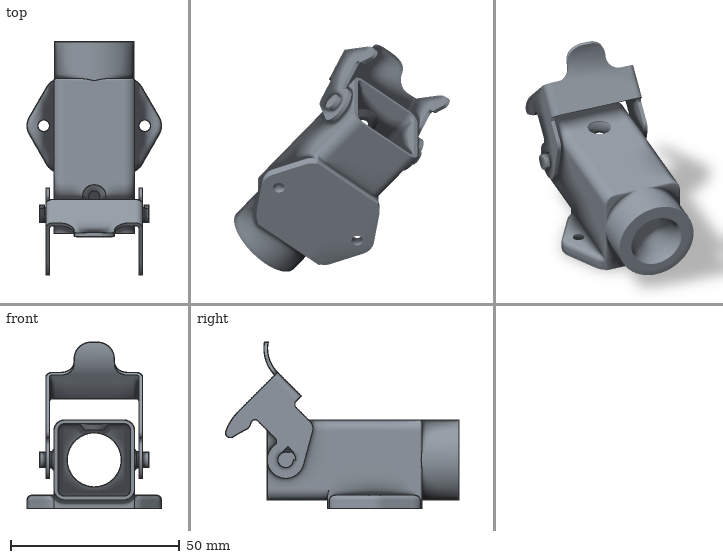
import cadquery as cq
import math

BODY_WIDTH = 24.0
BODY_HEIGHT = 23.75
BODY_LENGTH = 46.0
BODY_CORNER_R = 3.2
AXIS_Z = 14.5
BODY_TOP_Z = AXIS_Z + BODY_HEIGHT / 2
REAR_EDGE_R = 0.6

CAVITY_SIZE = 21.5
CAVITY_CORNER_R = 1.9
CAVITY_FLOOR_R = 1.05
REAR_WALL = 3.0
ENTRY_DIAMETER = BODY_HEIGHT
ENTRY_LENGTH = 11.0
BORE_DIAMETER = 16.0

BASE_FRONT_Y = 18.0
BASE_LENGTH = BODY_LENGTH - BASE_FRONT_Y
BASE_TOP_Z = 5.9
BASE_EDGE_R = 0.5
EAR_Y = BASE_FRONT_Y + BASE_LENGTH / 2
EAR_HOLE_SPACING = 30.0
EAR_HOLE_DIAMETER = 3.4
EAR_HEIGHT = 4.0
EAR_CORNER_R = 5.0
EAR_TOP_R = 1.5
EAR_ANGLE = math.radians(30)

SCREW_Y = 11.0
SCREW_HEAD_DIAMETER = 7.0
SCREW_HEAD_RECESS = 0.35
SCREW_HOLE_DIAMETER = 3.3
SEAT_BOTTOM_Z = 23.4
SEAT_TOP_DIAMETER = 8.8
SEAT_BOTTOM_DIAMETER = 5.9

PIVOT_Y = 5.5
PIN_END_X = 16.2
PIN_RADIUS = 2.3
BOSS_BASE_RADIUS = 3.15
BOSS_RADIUS = 2.45
BOSS_CONE_LENGTH = 0.6
LIP_RADIUS = 3.0
LIP_THICKNESS = 1.4

LEVER_WIDTH = 28.8
SHEET = 1.15
BEND_R = 2.1
OPEN_ANGLE = 45.0
PLATE_TOP = 16.7
PLATE_BACK = 10.1
PLATE_FRONT = 20.1
HUB_R = 5.5
ARM_BACK_ANGLE = math.radians(30)
SHOULDER = 13.2
SHOULDER_R = 3.0
RELIEF_CHAMFER = 0.85
ARM_UNDERSIDE = 2.33
NECK_R = 1.3
KEYWAY_HEIGHT = 3.25

NOSE_START = (PLATE_FRONT, -0.1)
NOSE_END = (18.58, -6.6)
TOOTH_LOW = (15.9, -6.3)
TOOTH_HIGH = (14.9, -2.5)
TOOTH_CROWN = (14.57, -0.7)
GULLET_START = (15.0, 0.4)
GULLET_TOP = (14.95, 1.85)
GULLET_END = (13.74, ARM_UNDERSIDE)

TONGUE_WIDTH = 12.0
TONGUE_TIP_R = 5.0
TONGUE_TOP_Z = 49.48
TONGUE_BEND_R = 10.0
TONGUE_ROOT_R = 4.0

OVERLAP = 1.0
AMPLE = 100.0


def rounded_bar(width, height, length, corner_r):
    """Bar along +Y from y = 0, centred on the housing axis."""
    return (
        cq.Workplane("XZ", origin=(0, 0, AXIS_Z))
        .rect(width, height)
        .extrude(-length)
        .edges("|Y")
        .fillet(corner_r)
    )


def y_cylinder(diameter, y_start, length):
    """Cylinder along the housing axis, starting at y_start."""
    return (
        cq.Workplane("XZ", origin=(0, y_start, AXIS_Z))
        .circle(diameter / 2)
        .extrude(-length)
    )


def make_shell():
    """Body tube standing on its base block."""
    base = (
        cq.Workplane("XY")
        .box(BODY_WIDTH, BASE_LENGTH, BASE_TOP_Z, centered=(True, False, False))
        .translate((0, BASE_FRONT_Y, 0))
        .edges("|Z and <Y")
        .fillet(BASE_EDGE_R)
    )
    body = rounded_bar(BODY_WIDTH, BODY_HEIGHT, BODY_LENGTH, BODY_CORNER_R)
    shell = body.union(base)
    return shell.faces(">Y").edges("not <Z").fillet(REAR_EDGE_R)


def make_ears():
    """Lozenge plate under the body whose tips carry the mounting holes."""
    tip_x = EAR_HOLE_SPACING / 2 + EAR_CORNER_R / math.cos(EAR_ANGLE)
    half_length = BASE_LENGTH / 2
    end_x = tip_x - half_length * math.tan(EAR_ANGLE)
    outline = [
        (tip_x, 0), (end_x, half_length), (-end_x, half_length),
        (-tip_x, 0), (-end_x, -half_length), (end_x, -half_length),
    ]
    return (
        cq.Workplane("XY", origin=(0, EAR_Y, 0))
        .polyline(outline)
        .close()
        .extrude(EAR_HEIGHT)
        .edges("|Z")
        .fillet(EAR_CORNER_R)
        .faces(">Z")
        .edges()
        .fillet(EAR_TOP_R)
        .faces("<Z")
        .workplane(origin=(0, EAR_Y, 0))
        .pushPoints([(-EAR_HOLE_SPACING / 2, 0), (EAR_HOLE_SPACING / 2, 0)])
        .hole(EAR_HOLE_DIAMETER)
    )


def make_cavity():
    """Square pocket from the mouth, with a rounded floor edge, and the round bore behind it."""
    pocket = rounded_bar(CAVITY_SIZE, CAVITY_SIZE, BODY_LENGTH - REAR_WALL, CAVITY_CORNER_R)
    pocket = pocket.faces(">Y").edges().fillet(CAVITY_FLOOR_R)
    return pocket.union(y_cylinder(BORE_DIAMETER, 0, BODY_LENGTH + ENTRY_LENGTH))


def revolve_about_screw(profile):
    """Revolve (radius, z) points about the vertical screw axis."""
    return (
        cq.Workplane("XZ", origin=(0, SCREW_Y, 0))
        .polyline(profile)
        .close()
        .revolve(360, (0, 0, 0), (0, 1, 0))
    )


def add_screw_seat(housing):
    """Conical boss hanging inside the top wall, with a countersunk screw hole."""
    inner_z = AXIS_Z + CAVITY_SIZE / 2
    head_r = SCREW_HEAD_DIAMETER / 2
    hole_r = SCREW_HOLE_DIAMETER / 2
    sink_z = BODY_TOP_Z - SCREW_HEAD_RECESS
    boss = revolve_about_screw([
        (0, SEAT_BOTTOM_Z), (SEAT_BOTTOM_DIAMETER / 2, SEAT_BOTTOM_Z),
        (SEAT_TOP_DIAMETER / 2, inner_z), (SEAT_TOP_DIAMETER / 2, BODY_TOP_Z), (0, BODY_TOP_Z),
    ])
    hole = revolve_about_screw([
        (0, SEAT_BOTTOM_Z), (hole_r, SEAT_BOTTOM_Z), (hole_r, sink_z - (head_r - hole_r)),
        (head_r, sink_z), (head_r, BODY_TOP_Z), (0, BODY_TOP_Z),
    ])
    return housing.union(boss).cut(hole)


def make_pin():
    """Pivot pin on the +X side: conical boss, shaft and a quarter-round retaining lip."""
    wall_x = BODY_WIDTH / 2
    root_x = wall_x - OVERLAP
    shoulder_x = LEVER_WIDTH / 2 - SHEET
    cone_x = wall_x + BOSS_CONE_LENGTH
    pin = (
        cq.Workplane("XY")
        .polyline([
            (root_x, 0), (root_x, BOSS_BASE_RADIUS), (wall_x, BOSS_BASE_RADIUS),
            (cone_x, BOSS_RADIUS), (shoulder_x, BOSS_RADIUS), (shoulder_x, PIN_RADIUS),
            (PIN_END_X, PIN_RADIUS), (PIN_END_X, 0),
        ])
        .close()
        .revolve(360, (0, 0, 0), (1, 0, 0))
    )
    lip_x = PIN_END_X - LIP_THICKNESS
    lip = cq.Workplane("YZ", origin=(lip_x, 0, 0)).circle(LIP_RADIUS).extrude(LIP_THICKNESS)
    quadrant = cq.Workplane("XY").box(AMPLE, LIP_RADIUS, PIN_RADIUS, centered=(True, False, False))
    return pin.union(lip.intersect(quadrant)).translate((0, PIVOT_Y, AXIS_Z))


def side_sketch():
    """Sketch plane of the level lever: forward (-Y) is its first axis, up its second."""
    return cq.Workplane(cq.Plane(origin=(0, 0, 0), xDir=(0, -1, 0), normal=(-1, 0, 0)))


def pose(lever_piece):
    """Swing a piece of the level lever open and place it on the pivot."""
    return lever_piece.rotate((0, 0, 0), (1, 0, 0), -OPEN_ANGLE).translate((0, PIVOT_Y, AXIS_Z))


def make_side_profile():
    """Lever side outline: plate edge, hooked latch, neck, pivot hub and shoulder."""
    neck_y = ARM_UNDERSIDE - NECK_R
    neck_x = math.sqrt((HUB_R + NECK_R) ** 2 - neck_y ** 2)
    neck_angle = math.atan2(neck_y, neck_x)
    neck_end = (HUB_R * math.cos(neck_angle), HUB_R * math.sin(neck_angle))
    neck_mid_angle = (math.pi / 2 + math.pi + neck_angle) / 2
    neck_mid = (
        neck_x + NECK_R * math.cos(neck_mid_angle),
        neck_y + NECK_R * math.sin(neck_mid_angle),
    )
    back_normal = (-math.cos(ARM_BACK_ANGLE), math.sin(ARM_BACK_ANGLE))
    hub_end = (HUB_R * back_normal[0], HUB_R * back_normal[1])
    hub_mid = (-HUB_R / math.sqrt(2), -HUB_R / math.sqrt(2))
    round_y = SHOULDER - SHOULDER_R
    round_x = (round_y * back_normal[1] - (HUB_R - SHOULDER_R)) / -back_normal[0]
    round_start = (round_x + SHOULDER_R * back_normal[0], round_y + SHOULDER_R * back_normal[1])
    round_mid_angle = math.pi / 2 + (math.pi / 2 - ARM_BACK_ANGLE) / 2
    round_mid = (
        round_x + SHOULDER_R * math.cos(round_mid_angle),
        round_y + SHOULDER_R * math.sin(round_mid_angle),
    )
    return (
        side_sketch()
        .moveTo(PLATE_FRONT, PLATE_TOP)
        .lineTo(*NOSE_START)
        .tangentArcPoint(NOSE_END, relative=False)
        .tangentArcPoint(TOOTH_LOW, relative=False)
        .lineTo(*TOOTH_HIGH)
        .threePointArc(TOOTH_CROWN, GULLET_START)
        .threePointArc(GULLET_TOP, GULLET_END)
        .lineTo(neck_x, ARM_UNDERSIDE)
        .threePointArc(neck_mid, neck_end)
        .threePointArc(hub_mid, hub_end)
        .lineTo(*round_start)
        .threePointArc(round_mid, (round_x, SHOULDER))
        .lineTo(PLATE_BACK - RELIEF_CHAMFER, SHOULDER)
        .lineTo(PLATE_BACK, SHOULDER + RELIEF_CHAMFER)
        .lineTo(PLATE_BACK, PLATE_TOP)
        .close()
        .extrude(LEVER_WIDTH / 2, both=True)
    )


def make_arch(width, top, corner_r):
    """Solid of the given width and top height, with its two upper long edges rounded."""
    return (
        cq.Workplane("XY")
        .box(width, AMPLE, AMPLE)
        .translate((0, 0, top - AMPLE / 2))
        .edges("|Y and >Z")
        .fillet(corner_r)
    )


def make_bail():
    """Bent sheet: plate and two side arms, with the corner of each keyway open."""
    channel = make_arch(LEVER_WIDTH, PLATE_TOP, BEND_R)
    channel = channel.cut(make_arch(LEVER_WIDTH - 2 * SHEET, PLATE_TOP - SHEET, BEND_R - SHEET))
    keyway = (
        side_sketch()
        .rect(PIN_RADIUS, KEYWAY_HEIGHT, centered=False)
        .extrude(LEVER_WIDTH, both=True)
    )
    return pose(make_side_profile().intersect(channel).cut(keyway))


def make_tongue():
    """Finger tongue: continues the plate, curls upright and ends in a rounded tip."""
    outer_r = TONGUE_BEND_R + SHEET
    quarter_bend = (
        side_sketch()
        .center(PLATE_FRONT, PLATE_TOP + TONGUE_BEND_R)
        .moveTo(0, -outer_r)
        .radiusArc((outer_r, 0), -outer_r)
        .lineTo(TONGUE_BEND_R, 0)
        .radiusArc((0, -TONGUE_BEND_R), TONGUE_BEND_R)
        .close()
        .extrude(LEVER_WIDTH / 2, both=True)
    )
    tip = (
        cq.Workplane("XY")
        .box(TONGUE_WIDTH, AMPLE, TONGUE_TOP_Z - AXIS_Z)
        .translate((0, 0, (TONGUE_TOP_Z + AXIS_Z) / 2))
        .edges("|Y and >Z")
        .fillet(TONGUE_TIP_R)
    )
    root_x = TONGUE_WIDTH / 2 + TONGUE_ROOT_R
    root_end_y = -PLATE_FRONT - TONGUE_ROOT_R
    root_rounds = (
        cq.Workplane("XY", origin=(0, root_end_y, 0))
        .pushPoints([(-root_x, 0), (root_x, 0)])
        .circle(TONGUE_ROOT_R)
        .extrude(AMPLE)
    )
    root = (
        cq.Workplane("XY")
        .box(2 * root_x, TONGUE_ROOT_R, AMPLE, centered=(True, False, False))
        .translate((0, root_end_y, 0))
        .cut(root_rounds)
    )
    return pose(quarter_bend).intersect(tip.union(pose(root)))


entry = y_cylinder(ENTRY_DIAMETER, BODY_LENGTH - REAR_EDGE_R, ENTRY_LENGTH + REAR_EDGE_R)
housing = make_shell().union(make_ears()).union(entry).cut(make_cavity())
housing = add_screw_seat(housing)
pin = make_pin()
lever = make_bail().union(make_tongue())
result = housing.union(lever).union(pin).union(pin.mirror("YZ"))